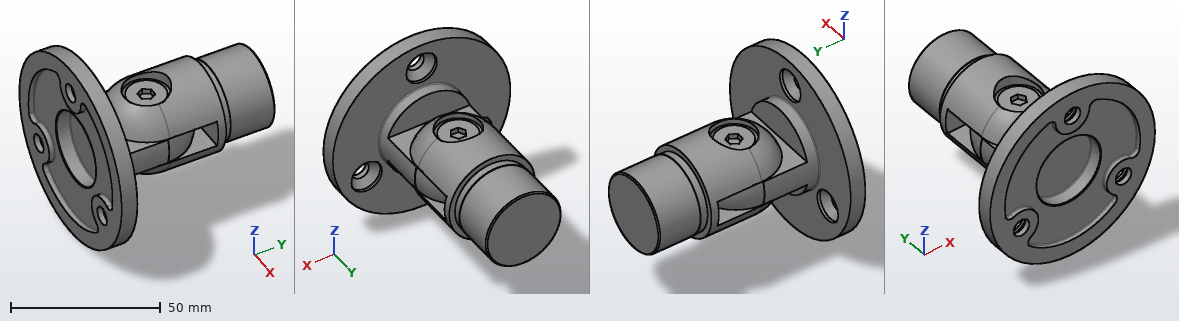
import cadquery as cq


FLANGE_RADIUS = 35.0
FLANGE_THICKNESS = 6.0
BODY_RADIUS = 33.75 / 2
NECK_END = 10.5
NECK_FILLET = 0.35
TONGUE_THICKNESS = 9.95
TONGUE_BALL_RADIUS = 16.65
TONGUE_BALL_Y = 28.35

HOLE_COUNT = 3
HOLE_RADIUS = 3.3
HOLE_CIRCLE_RADIUS = 25.0
COUNTERSINK_RADIUS = 6.0
COUNTERSINK_START = 2.2
BOSS_RADIUS = 7.15
POCKET_RADIUS = 28.7
POCKET_DEPTH = 2.0
POCKET_CORNER_RADIUS = 2.45
POCKET_FLOOR_FILLET = 0.3

RECESS_RADIUS = 13.5
RECESS_DEPTH = 7.4
RECESS_EDGE = 0.3

PIVOT_Y = 29.0
SLOT_WIDTH = 10.4
SLOT_END = 47.05
SHOULDER_Y = 50.05
UNDERCUT_RADIUS = 29.25 / 2
UNDERCUT_LENGTH = 2.95
SPIGOT_RADIUS = 29.7 / 2
SPIGOT_END = 70.0
SPIGOT_CHAMFER = 0.5

SEAT_RADIUS = 8.3
SEAT_Z = 12.6
HEAD_RADIUS = 7.1
HEAD_TOP_Z = 12.95
SHANK_RADIUS = 4.0
SHANK_END_Z = -11.2
HEX_ACROSS_FLATS = 5.1
HEX_DEPTH = 2.0
HEX_TURN = 30

HEAD_RIM_Z = SEAT_Z - (SEAT_RADIUS - HEAD_RADIUS)
SHANK_TOP_Z = SEAT_Z - (SEAT_RADIUS - SHANK_RADIUS)


def rod(radius, start_y, end_y):
    """Cylinder on the Y axis from start_y to end_y."""
    return cq.Workplane("XZ", origin=(0, start_y, 0)).circle(radius).extrude(start_y - end_y)


def ball(radius, center_y):
    return cq.Workplane("XY").sphere(radius).translate((0, center_y, 0))


def slab(thickness, start_y, end_y):
    """Plate centred on Z = 0, wider than the body in X."""
    return (
        cq.Workplane("XY")
        .box(FLANGE_RADIUS * 2, end_y - start_y, thickness, centered=(True, False, True))
        .translate((0, start_y, 0))
    )


def turned_on_pivot(points):
    """Solid of revolution about the pivot axis from (radius, z) points."""
    profile = cq.Workplane("XZ", origin=(0, PIVOT_Y, 0)).polyline(points).close()
    return profile.revolve(360, (0, 0, 0), (0, 1, 0))


def hole_pattern(radius, depth, start_y=0.0, taper=0.0):
    """Cylinders, or cones if tapered, on the mounting hole axes from start_y towards +Y."""
    first_hole_angle = 90
    return (
        cq.Workplane("XZ", origin=(0, start_y, 0))
        .polarArray(HOLE_CIRCLE_RADIUS, first_hole_angle, 360, HOLE_COUNT)
        .circle(radius)
        .extrude(-depth, taper=taper)
    )


def countersinks():
    """45 degree screw-head seats, each carried on as a cylinder to the back of the flange."""
    cone_depth = COUNTERSINK_RADIUS - HOLE_RADIUS
    cone_end = COUNTERSINK_START + cone_depth
    return (
        hole_pattern(HOLE_RADIUS, cone_depth, COUNTERSINK_START, taper=-45)
        .union(hole_pattern(COUNTERSINK_RADIUS, FLANGE_THICKNESS - cone_end, cone_end))
    )


def pocket():
    cutter = rod(POCKET_RADIUS, 0, POCKET_DEPTH).cut(hole_pattern(BOSS_RADIUS, POCKET_DEPTH))
    cutter = cutter.edges("|Y").fillet(POCKET_CORNER_RADIUS)
    return cutter.faces(">Y").edges().fillet(POCKET_FLOOR_FILLET)


def recess():
    """Blind hole with a filleted floor and a chamfered mouth."""
    cutter = rod(RECESS_RADIUS, POCKET_DEPTH, RECESS_DEPTH).faces(">Y").edges().fillet(RECESS_EDGE)
    mouth = (
        cq.Workplane("XZ", origin=(0, POCKET_DEPTH, 0))
        .circle(RECESS_RADIUS + RECESS_EDGE)
        .extrude(-RECESS_EDGE, taper=45)
    )
    return cutter.union(mouth)


def screw_bore():
    """Bore that fits the screw shank, opening through a conical seat into a counterbore."""
    return turned_on_pivot([
        (0, SHANK_END_Z),
        (SHANK_RADIUS, SHANK_END_Z),
        (SHANK_RADIUS, SHANK_TOP_Z),
        (SEAT_RADIUS, SEAT_Z),
        (SEAT_RADIUS, BODY_RADIUS),
        (0, BODY_RADIUS),
    ])


def make_base():
    flange = rod(FLANGE_RADIUS, 0, FLANGE_THICKNESS)
    neck = rod(BODY_RADIUS, FLANGE_THICKNESS, NECK_END)
    base = flange.union(neck)
    neck_edges = cq.selectors.RadiusNthSelector(0)
    base = base.edges(neck_edges).edges("<Y").fillet(NECK_FILLET)
    tongue = rod(BODY_RADIUS, NECK_END, TONGUE_BALL_Y).union(ball(TONGUE_BALL_RADIUS, TONGUE_BALL_Y))
    tongue = tongue.intersect(slab(TONGUE_THICKNESS, NECK_END, SLOT_END))
    base = base.union(tongue)
    base = base.cut(pocket()).cut(recess()).cut(screw_bore())
    return base.cut(hole_pattern(HOLE_RADIUS, FLANGE_THICKNESS)).cut(countersinks())


def make_fork():
    body = rod(BODY_RADIUS, PIVOT_Y, SHOULDER_Y).union(ball(BODY_RADIUS, PIVOT_Y))
    body = body.cut(slab(SLOT_WIDTH, 0, SLOT_END))
    undercut_end = SHOULDER_Y + UNDERCUT_LENGTH
    undercut = rod(UNDERCUT_RADIUS, SHOULDER_Y, undercut_end)
    spigot = rod(SPIGOT_RADIUS, undercut_end, SPIGOT_END).faces(">Y").edges().chamfer(SPIGOT_CHAMFER)
    return body.union(undercut).union(spigot).cut(screw_bore())


def make_screw():
    screw = turned_on_pivot([
        (0, SHANK_END_Z),
        (SHANK_RADIUS, SHANK_END_Z),
        (SHANK_RADIUS, SHANK_TOP_Z),
        (HEAD_RADIUS, HEAD_RIM_Z),
        (HEAD_RADIUS, HEAD_TOP_Z),
        (0, HEAD_TOP_Z),
    ])
    socket = (
        cq.Workplane("XY", origin=(0, PIVOT_Y, HEAD_TOP_Z))
        .transformed(rotate=(0, 0, HEX_TURN))
        .polygon(6, HEX_ACROSS_FLATS, circumscribed=True)
        .extrude(-HEX_DEPTH)
    )
    return screw.cut(socket)


base = make_base()
fork = make_fork()
screw = make_screw()

result = cq.Compound.makeCompound([base.val(), fork.val(), screw.val()])